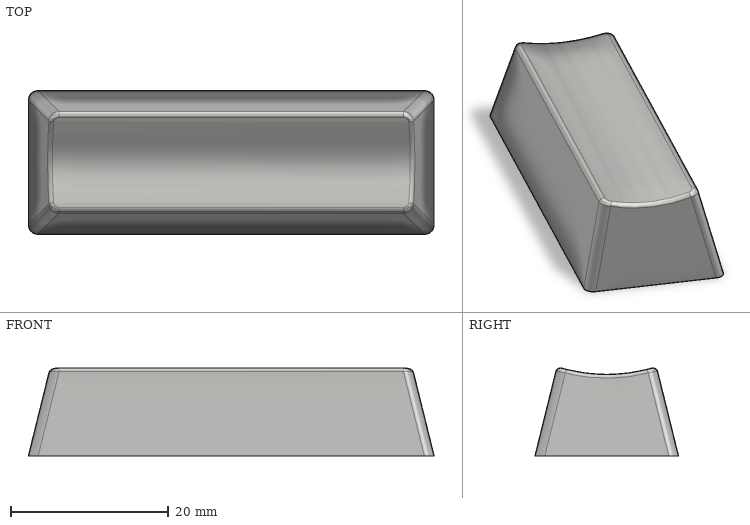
import cadquery as cq

BASE_LENGTH = 51.65
BASE_WIDTH = 18.3
WALL_SLOPE_DEG = 13.9
BLANK_HEIGHT = 12.9

DISH_RADIUS = 20.65
DISH_FLOOR_HEIGHT = 10.4

CORNER_RADIUS = 1.3
RIM_RADIUS = 0.6


def tapered_blank():
    """Four-sided block with sloping walls and rounded corner edges."""
    base = cq.Workplane("XY").rect(BASE_LENGTH, BASE_WIDTH)
    block = base.extrude(BLANK_HEIGHT, taper=WALL_SLOPE_DEG)
    sloping_edges = block.edges("not(#Z)")
    return sloping_edges.fillet(CORNER_RADIUS)


def dish_cutter():
    """Cylinder along X whose lowest line is the floor of the dish."""
    axis_height = DISH_FLOOR_HEIGHT + DISH_RADIUS
    section = cq.Workplane("YZ").center(0, axis_height).circle(DISH_RADIUS)
    return section.extrude(BASE_LENGTH / 2, both=True)


def round_rim(body):
    """Round the edge where the dish meets the walls and corners."""
    dish_face = body.faces(">Z")
    return dish_face.edges().fillet(RIM_RADIUS)


dished_body = tapered_blank().cut(dish_cutter())
result = round_rim(dished_body)